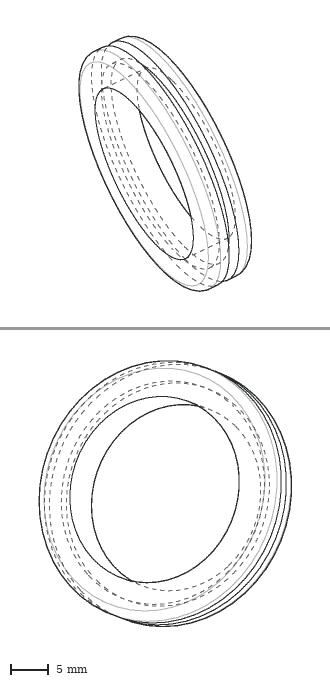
import cadquery as cq

outer_diameter = 35.0
bore_diameter = 25.0
ring_width = 6.5
rim_fillet = 1.2

groove_diameter = 30.0
groove_width = 1.5


def disc(diameter, width):
    """Cylinder along Y, centred on the origin."""
    return cq.Workplane("XZ", origin=(0, width / 2, 0)).circle(diameter / 2).extrude(width)


body = disc(outer_diameter, ring_width).faces("<Y or >Y").edges().fillet(rim_fillet)
bore = disc(bore_diameter, ring_width)
groove = disc(outer_diameter, groove_width).cut(disc(groove_diameter, groove_width))

result = body.cut(bore).cut(groove)